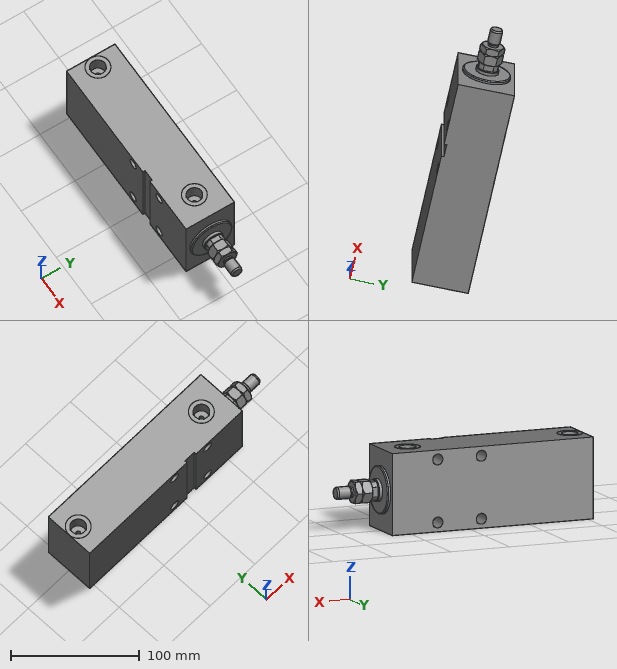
import cadquery as cq
import math

total_length = 209.0
housing_length = 170.3
housing_width = 45.0
housing_height = 65.0

slot_width = 10.0
slot_depth = 2.0
slot_from_face = 51.6

bolt_hole_diameter = 8.5
bolt_spacing_x = 37.0
bolt_spacing_z = 50.0
bolt_from_face = 38.5

port_from_back = 10.2
port_spacing = 137.5
port_seat_diameter = 20.0
port_seat_depth = 0.2
port_diameter = 13.0
port_depth = 12.5
port_feed_diameter = 4.0

gland_diameter = 38.0
gland_thickness = 2.5
gland_chamfer = 0.8

rod_diameter = 18.0
rod_back_x = 5.2
rod_collar_end = 5.6
rod_collar_chamfer = 0.6
shank_diameter = 17.0
shank_across_flats = 15.0
shank_end = 10.5

hex_across_flats = 17.0
hex_chamfer_length = 1.0
hex_chamfer_diameter = 16.7
wide_hex_length = 8.4
narrow_hex_length = 5.9
relief_diameter = 8.2
relief_length = 1.5
stud_diameter = 9.8
stud_chamfer_length = 1.5
stud_chamfer_depth = 0.6

face_x = housing_length
port_positions = [(port_from_back + i * port_spacing, 0) for i in range(2)]


def rod_along_x(start_x, length, diameter):
    """Cylinder on the rod axis."""
    return cq.Workplane("YZ", origin=(start_x, 0, 0)).circle(diameter / 2).extrude(length)


def cut_slot(block):
    slot = cq.Workplane("XY").box(slot_width, 2 * slot_depth, housing_height)
    slot_x = face_x - slot_from_face - slot_width / 2
    return block.cut(slot.translate((slot_x, -housing_width / 2, 0)))


def cut_bolt_holes(block):
    holes_x = face_x - bolt_from_face - bolt_spacing_x / 2
    holes = (
        cq.Workplane("XZ", origin=(holes_x, housing_width / 2, 0))
        .rarray(bolt_spacing_x, bolt_spacing_z, 2, 2)
        .circle(bolt_hole_diameter / 2)
        .extrude(housing_width)
    )
    return block.cut(holes)


def cut_ports(block):
    """Shallow seat, port bore and a feed hole that runs down to the rod bore."""
    steps = [
        (port_seat_diameter, port_seat_depth),
        (port_diameter, port_depth),
        (port_feed_diameter, housing_height / 2),
    ]
    top = cq.Workplane("XY", origin=(0, 0, housing_height / 2))
    for diameter, depth in steps:
        block = block.cut(top.pushPoints(port_positions).circle(diameter / 2).extrude(-depth))
    return block


def make_housing():
    block = cq.Workplane("XY").box(housing_length, housing_width, housing_height)
    block = block.translate((housing_length / 2, 0, 0))
    block = cut_slot(block)
    block = cut_bolt_holes(block)
    block = cut_ports(block)
    return block.cut(rod_along_x(rod_back_x, face_x - rod_back_x, rod_diameter))


def make_gland():
    ring = rod_along_x(face_x, gland_thickness, gland_diameter).faces(">X").chamfer(gland_chamfer)
    return ring.cut(rod_along_x(face_x, gland_thickness, rod_diameter))


def make_rod():
    collar_x = face_x + rod_collar_end
    shaft = rod_along_x(rod_back_x, collar_x - rod_back_x, rod_diameter)
    shaft = shaft.faces(">X").chamfer(rod_collar_chamfer)
    shank_length = shank_end - rod_collar_end
    flats = (
        cq.Workplane("YZ", origin=(collar_x, 0, 0))
        .rect(shank_across_flats, shank_across_flats)
        .extrude(shank_length)
    )
    return shaft.union(rod_along_x(collar_x, shank_length, shank_diameter).intersect(flats))


def make_hexagon(start_x, length):
    """Hexagon with corners on +Y and -Y and both ends turned to a cone."""
    corner_radius = hex_across_flats / math.sqrt(3)
    blank = (
        cq.Workplane("YZ", origin=(start_x, 0, 0))
        .polygon(6, 2 * corner_radius)
        .extrude(length)
    )
    end_radius = hex_chamfer_diameter / 2
    turned = (
        cq.Workplane("XY")
        .moveTo(start_x, 0)
        .lineTo(start_x, end_radius)
        .lineTo(start_x + hex_chamfer_length, corner_radius)
        .lineTo(start_x + length - hex_chamfer_length, corner_radius)
        .lineTo(start_x + length, end_radius)
        .lineTo(start_x + length, 0)
        .close()
        .revolve(360, (0, 0, 0), (1, 0, 0))
    )
    return blank.intersect(turned)


def make_end_piece():
    wide_x = face_x + shank_end
    narrow_x = wide_x + wide_hex_length
    relief_x = narrow_x + narrow_hex_length
    stud_x = relief_x + relief_length
    stud = rod_along_x(stud_x, total_length - stud_x, stud_diameter)
    stud = stud.faces("<X or >X").chamfer(stud_chamfer_length, stud_chamfer_depth)
    return (
        make_hexagon(wide_x, wide_hex_length)
        .union(make_hexagon(narrow_x, narrow_hex_length))
        .union(rod_along_x(relief_x, relief_length, relief_diameter))
        .union(stud)
    )


housing = make_housing()
gland = make_gland()
rod = make_rod()
end_piece = make_end_piece()

result = cq.Compound.makeCompound([housing.val(), gland.val(), rod.val(), end_piece.val()])